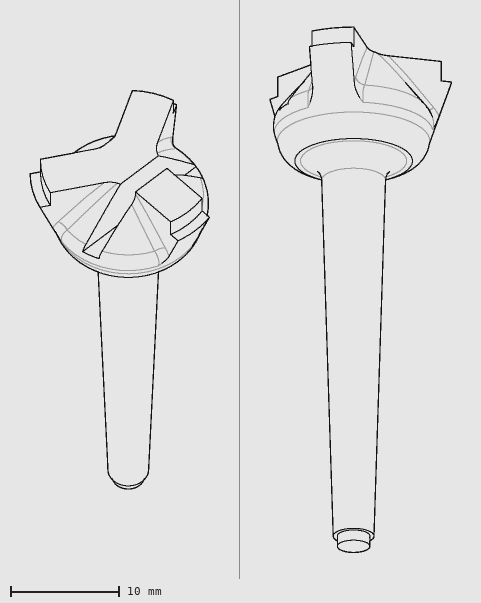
import cadquery as cq

total_height = 48.25
pilot_height = 1.0
stem_top_height = 36.3
head_bottom_height = 38.25
head_side_height = 40.2
pocket_floor_height = 41.1
step_height = 46.3

pilot_radius = 1.5
stem_bottom_radius = 1.9
stem_top_radius = 2.95
neck_end_radius = 4.85
head_bottom_radius = 5.4
head_corner_radius = 2.3
head_side_radius = 7.0
arm_outer_radius = 9.0
arm_step_radius = 8.05

arm_count = 3
arm_width = 3.95
arm_blend_radius = 0.95

core_top_radius = 2.8
core_edge_radius = 6.9
core_edge_height = 42.95
core_bulge_radius = 2.0

slot_start = 1.5
slot_width = 1.6
slot_floor_height = 42.25

clearance = 4.8


def turned_body():
    """Stem, neck and flared head, revolved about the Z axis."""
    profile = (
        cq.Workplane("XZ")
        .lineTo(pilot_radius, 0)
        .lineTo(pilot_radius, pilot_height)
        .lineTo(stem_bottom_radius, pilot_height)
        .lineTo(stem_top_radius, stem_top_height)
        .radiusArc((neck_end_radius, head_bottom_height), neck_end_radius - stem_top_radius)
        .lineTo(head_bottom_radius, head_bottom_height)
        .radiusArc((head_side_radius, head_side_height), -head_corner_radius)
        .lineTo(arm_outer_radius, step_height)
        .lineTo(arm_step_radius, step_height)
        .lineTo(arm_step_radius, total_height)
        .lineTo(0, total_height)
        .close()
    )
    return profile.revolve(360, (0, 0), (0, 1))


def space_around_core():
    """Ring outside the conical core, with a rounded shoulder at its lower edge."""
    side_slope = (arm_outer_radius - head_side_radius) / (step_height - head_side_height)
    floor_radius = head_side_radius + side_slope * (pocket_floor_height - head_side_height)
    ring_outer_radius = arm_outer_radius + clearance
    profile = (
        cq.Workplane("XZ")
        .moveTo(core_top_radius, total_height)
        .lineTo(core_edge_radius, core_edge_height)
        .radiusArc((floor_radius, pocket_floor_height), core_bulge_radius)
        .lineTo(ring_outer_radius, pocket_floor_height)
        .lineTo(ring_outer_radius, total_height)
        .close()
    )
    return profile.revolve(360, (0, 0), (0, 1))


def arms():
    """Straight bars that keep the material of the arms, one along +X."""
    length = arm_outer_radius + 2 * clearance
    bars = cq.Workplane("XY")
    for index in range(arm_count):
        bar = (
            cq.Workplane("XY")
            .box(length, arm_width, 2 * total_height, centered=(False, True, False))
            .rotate((0, 0, 0), (0, 0, 1), index * 360 / arm_count)
        )
        bars = bars.add(bar)
    return bars.combine()


def pockets():
    """Spaces between the arms, rounded where the arms grow out of the core."""
    spaces = space_around_core().cut(arms())
    return spaces.edges("%HYPERBOLA or %BSPLINE").fillet(arm_blend_radius)


def slot():
    """Square slot through the head along Y."""
    return (
        cq.Workplane("XY", origin=(slot_start, 0, slot_floor_height))
        .box(slot_width, 4 * arm_outer_radius, total_height, centered=(False, True, False))
    )


result = turned_body().cut(pockets()).cut(slot())